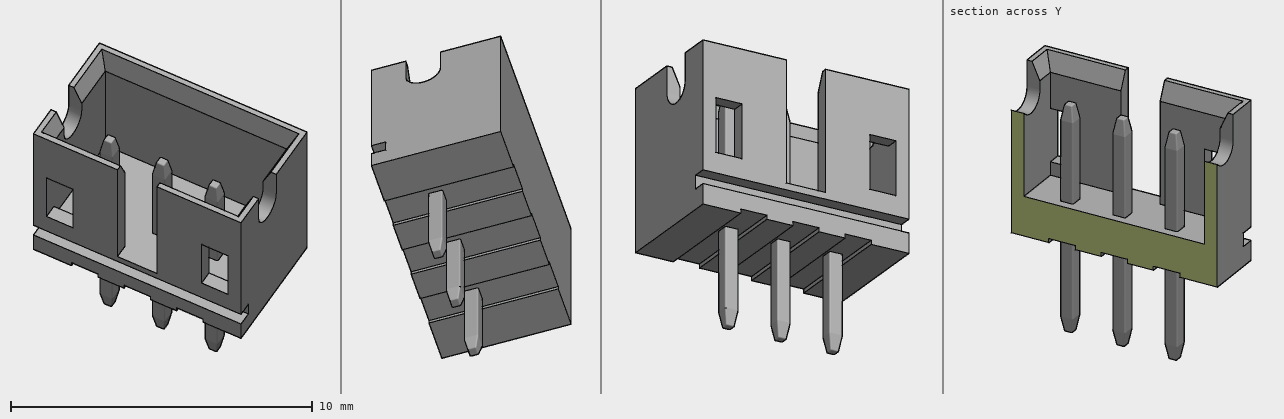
import cadquery as cq


body_length = 7.9
body_width = 4.5
body_height = 6.0
front_to_pins = 1.7
front_y = -front_to_pins
body_center_y = front_y + body_width / 2

wall = 0.5
floor_height = 1.5
rim = 0.2
bevel_depth = 0.65

key_width = 1.5
window_width = 1.0
window_bottom = 2.0
window_top = 4.0
window_x = body_length / 2 - wall - window_width / 2

notch_width = 1.2
notch_depth = 1.6
front_to_notch = 1.8
notch_center_y = front_y + front_to_notch

groove_bottom = 0.75
groove_top = 1.25
groove_depth = 0.5

channel_width = 1.0
channel_height = 0.15

pin_count = 3
pin_pitch = 2.0
pin_size = 0.5
pin_bottom = -3.4
pin_top = 5.1
tip_size = 0.3
tip_length = 0.58
pin_edge_radius = 0.05

pin_positions = [(i - (pin_count - 1) / 2) * pin_pitch for i in range(pin_count)]


def block(x_size, y_min, y_max, z_min, z_max, center_x=0.0):
    """Box centred on center_x that spans the given Y and Z ranges."""
    return (
        cq.Workplane("XY")
        .box(x_size, y_max - y_min, z_max - z_min, centered=(True, False, False))
        .translate((center_x, y_min, z_min))
    )


def cavity():
    """Straight pocket plus the flared mouth at the rim."""
    inner_length = body_length - 2 * wall
    inner_width = body_width - 2 * wall
    pocket = block(inner_length, front_y + wall, front_y + wall + inner_width, floor_height, body_height)
    mouth = (
        cq.Workplane("XY", origin=(0, body_center_y, body_height - bevel_depth))
        .rect(inner_length, inner_width)
        .workplane(offset=bevel_depth)
        .rect(body_length - 2 * rim, body_width - 2 * rim)
        .loft(ruled=True)
    )
    return pocket.union(mouth)


def end_notch():
    """U-shaped cutter that runs through both end walls."""
    radius = notch_width / 2
    bottom = body_height - notch_depth
    arc_center_z = bottom + radius
    return (
        cq.Workplane("YZ", origin=(-body_length / 2, notch_center_y, 0))
        .moveTo(-radius, body_height)
        .lineTo(-radius, arc_center_z)
        .threePointArc((0, bottom), (radius, arc_center_z))
        .lineTo(radius, body_height)
        .close()
        .extrude(body_length)
    )


def housing():
    """Shrouded body with every opening cut."""
    back_y = front_y + body_width
    inner_front_y = front_y + wall
    body = block(body_length, front_y, back_y, 0, body_height)
    body = body.cut(cavity())
    body = body.cut(end_notch())
    body = body.cut(block(key_width, front_y, inner_front_y, floor_height, body_height))
    for x in (-window_x, window_x):
        body = body.cut(block(window_width, front_y, inner_front_y, window_bottom, window_top, x))
    body = body.cut(block(body_length, front_y, front_y + groove_depth, groove_bottom, groove_top))
    for x in pin_positions:
        body = body.cut(block(channel_width, front_y, back_y, 0, channel_height, x))
    return body


def tip(base_z, height):
    """Square taper from the pin size at base_z down to the tip size; a negative height points down."""
    return (
        cq.Workplane("XY", origin=(0, 0, base_z))
        .rect(pin_size, pin_size)
        .workplane(offset=height)
        .rect(tip_size, tip_size)
        .loft(ruled=True)
    )


def pin():
    """Square pin with a tapered tip at each end and rounded long and end edges."""
    shaft_bottom = pin_bottom + tip_length
    shaft_top = pin_top - tip_length
    half_size = pin_size / 2
    shaft = block(pin_size, -half_size, half_size, shaft_bottom, shaft_top)
    blank = shaft.union(tip(shaft_top, tip_length)).union(tip(shaft_bottom, -tip_length))
    return blank.edges("(not #Z) or >Z or <Z").fillet(pin_edge_radius)


result = housing()
for pin_x in pin_positions:
    result = result.union(pin().translate((pin_x, 0, 0)))